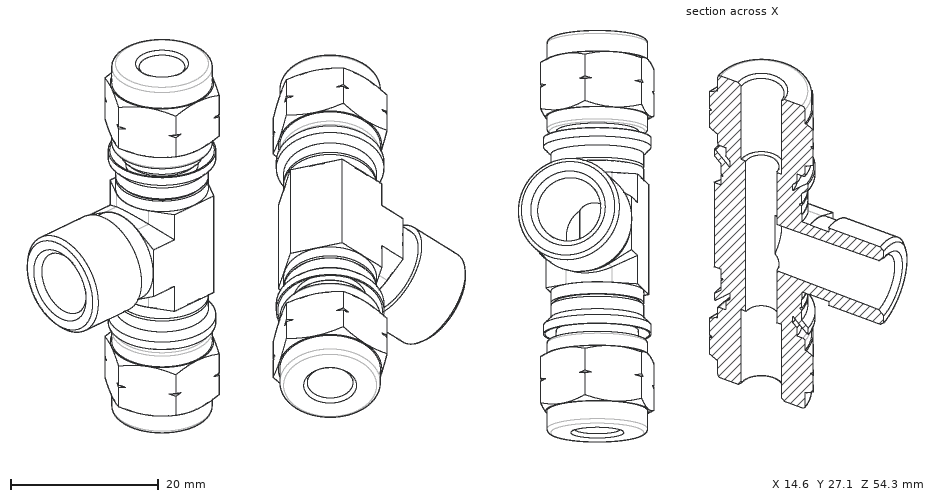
import cadquery as cq
import math


RUN_HALF_LENGTH = 27.15
NUT_BOTTOM = 14.5
NUT_DIAMETER = 13.6
NUT_TOP_ROUND = 0.515
NUT_BOTTOM_ROUND = 0.3

HEX_ACROSS_FLATS = 14.0
HEX_BOTTOM = 16.5
HEX_TOP = 24.15
HEX_CHAMFER_ANGLE = 30.0
NOTCH_DIAMETER = 15.3
NOTCH_WIDTH = 0.4

NECK_DIAMETER = 11.15
NECK_BOTTOM = 13.05
UNDERCUT_DIAMETER = 9.8
FLANGE_DIAMETER = 14.6
FLANGE_TOP = 13.5
FLANGE_BOTTOM = 12.3
FLANGE_RIM_WIDTH = 0.2
STEM_DIAMETER = 12.6
GROOVE_TOP = 9.6
GROOVE_SIZE = 0.4

BODY_ACROSS_FLATS = 12.7
BODY_REACH = 7.6

BRANCH_LENGTH = 19.0
THREAD_START = 10.4
THREAD_DIAMETER = 14.0
THREAD_CHAMFER = 0.55

RUN_BORE = 4.8
TUBE_SOCKET = 6.2
SOCKET_CHAMFER = 0.5
BRANCH_BORE_MOUTH = 8.75
BRANCH_BORE_END = 8.2
BRANCH_BORE_STOP = 0.85
COUNTERSINK_DIAMETER = 10.3
COUNTERSINK_DEPTH = 0.75

HEX_TURN = 30.0
TURNING_MARGIN = 0.55

stem_radius = STEM_DIAMETER / 2
body_radius = BODY_ACROSS_FLATS / 2


def corner_radius(across_flats):
    """Distance from the centre of a hexagon to its corners."""
    return across_flats / 2 / math.cos(math.radians(HEX_TURN))


def revolve_z(points):
    """Solid of revolution about Z from (radius, z) points."""
    return cq.Workplane("XZ").polyline(points).close().revolve(360, (0, 0), (0, 1))


def to_branch(shape):
    """Turn a shape built along +Z so that it lies along -Y."""
    return shape.rotate((0, 0, 0), (1, 0, 0), 90)


def hexagon(across_flats, bottom, top):
    """Hexagonal prism along Z with flats facing +X and -X."""
    corner_diameter = 2 * corner_radius(across_flats)
    prism = cq.Workplane("XY").workplane(offset=bottom).polygon(6, corner_diameter).extrude(top - bottom)
    return prism.rotate((0, 0, 0), (0, 0, 1), HEX_TURN)


def nut_hexagon():
    """Hexagon with both ends turned conical and a small V notch across each corner."""
    flat_radius = HEX_ACROSS_FLATS / 2
    tip_radius = corner_radius(HEX_ACROSS_FLATS)
    turned_radius = tip_radius + TURNING_MARGIN
    drop = (turned_radius - flat_radius) * math.tan(math.radians(HEX_CHAMFER_ANGLE))
    middle = (HEX_BOTTOM + HEX_TOP) / 2
    notch_radius = NOTCH_DIAMETER / 2
    half_opening = NOTCH_WIDTH / 2 * (turned_radius - notch_radius) / (tip_radius - notch_radius)
    turned = revolve_z([
        (0, HEX_BOTTOM),
        (flat_radius, HEX_BOTTOM),
        (turned_radius, HEX_BOTTOM + drop),
        (turned_radius, middle - half_opening),
        (notch_radius, middle),
        (turned_radius, middle + half_opening),
        (turned_radius, HEX_TOP - drop),
        (flat_radius, HEX_TOP),
        (0, HEX_TOP),
    ])
    return hexagon(HEX_ACROSS_FLATS, HEX_BOTTOM, HEX_TOP).intersect(turned)


def nut():
    """Round nut with its hexagon and rounded end edges."""
    barrel = (
        cq.Workplane("XY")
        .workplane(offset=NUT_BOTTOM)
        .circle(NUT_DIAMETER / 2)
        .extrude(RUN_HALF_LENGTH - NUT_BOTTOM)
        .faces(">Z").edges().fillet(NUT_TOP_ROUND)
        .faces("<Z").edges().fillet(NUT_BOTTOM_ROUND)
    )
    return barrel.union(nut_hexagon())


def run_stem():
    """Turned stem from the branch axis up to the nut, with its groove and dished flange.

    The groove roof, the flange underside, the dish and the neck underside are 45 degree cones.
    """
    neck_radius = NECK_DIAMETER / 2
    undercut_radius = UNDERCUT_DIAMETER / 2
    flange_radius = FLANGE_DIAMETER / 2
    dish_radius = flange_radius - FLANGE_RIM_WIDTH
    groove_bottom = GROOVE_TOP - GROOVE_SIZE
    return revolve_z([
        (0, 0),
        (stem_radius, 0),
        (stem_radius, groove_bottom),
        (stem_radius - GROOVE_SIZE, groove_bottom),
        (stem_radius, GROOVE_TOP),
        (stem_radius, FLANGE_BOTTOM - (flange_radius - stem_radius)),
        (flange_radius, FLANGE_BOTTOM),
        (flange_radius, FLANGE_TOP),
        (dish_radius, FLANGE_TOP),
        (undercut_radius, FLANGE_TOP - (dish_radius - undercut_radius)),
        (undercut_radius, NECK_BOTTOM - (neck_radius - undercut_radius)),
        (neck_radius, NECK_BOTTOM),
        (neck_radius, NUT_BOTTOM),
        (0, NUT_BOTTOM),
    ])


def run_arm():
    """Upper half of the run."""
    return run_stem().union(nut())


def rounded_bar(bar):
    """Round the +Y and -Y corners of a bar along Z, leaving its other four corners sharp.

    The round is the circle that touches all six flats; only the two corners are trimmed to it.
    """
    touch_x = body_radius * math.sin(math.radians(HEX_TURN))
    width = 2 * body_radius
    inside = cq.Workplane("XY").circle(body_radius).extrude(BODY_REACH, both=True)
    for side in (-1, 1):
        flank = cq.Workplane("XY").box(width, 2 * width, 2 * BODY_REACH)
        inside = inside.union(flank.translate((side * (touch_x + width / 2), 0, 0)))
    return bar.intersect(inside)


def body():
    """Two hexagonal bars joined in a tee, their corners rounded except at the back of the run."""
    run_bar = hexagon(BODY_ACROSS_FLATS, -BODY_REACH, BODY_REACH)
    branch_bar = hexagon(BODY_ACROSS_FLATS, 0, BODY_REACH)
    size = 2 * BODY_REACH
    back_half = cq.Workplane("XY").box(size, size, size, centered=(True, False, True))
    run_body = rounded_bar(run_bar).union(run_bar.intersect(back_half))
    return run_body.union(to_branch(rounded_bar(branch_bar)))


def branch():
    """Plain neck and chamfered thread cylinder."""
    neck = cq.Workplane("XY").circle(stem_radius).extrude(BRANCH_LENGTH)
    thread = (
        cq.Workplane("XY")
        .workplane(offset=THREAD_START)
        .circle(THREAD_DIAMETER / 2)
        .extrude(BRANCH_LENGTH - THREAD_START)
        .faces(">Z").edges().chamfer(THREAD_CHAMFER)
    )
    return to_branch(neck.union(thread))


def run_bores():
    """Through bore along the run with a chamfered tube socket at the upper end."""
    bore_radius = RUN_BORE / 2
    socket_radius = TUBE_SOCKET / 2
    return revolve_z([
        (0, 0),
        (bore_radius, 0),
        (bore_radius, FLANGE_TOP),
        (socket_radius, FLANGE_TOP),
        (socket_radius, RUN_HALF_LENGTH - SOCKET_CHAMFER),
        (socket_radius + SOCKET_CHAMFER, RUN_HALF_LENGTH),
        (0, RUN_HALF_LENGTH),
    ])


def branch_bore():
    """Slightly tapered flat-bottomed bore with a countersunk mouth."""
    return to_branch(revolve_z([
        (0, BRANCH_BORE_STOP),
        (BRANCH_BORE_END / 2, BRANCH_BORE_STOP),
        (BRANCH_BORE_MOUTH / 2, BRANCH_LENGTH - COUNTERSINK_DEPTH),
        (COUNTERSINK_DIAMETER / 2, BRANCH_LENGTH),
        (0, BRANCH_LENGTH),
    ]))


def both_ends(upper):
    """Join an upper run shape with its mirror image below the branch axis."""
    return upper.union(upper.mirror("XY"))


solid = both_ends(run_arm()).union(body()).union(branch())
result = solid.cut(both_ends(run_bores())).cut(branch_bore())